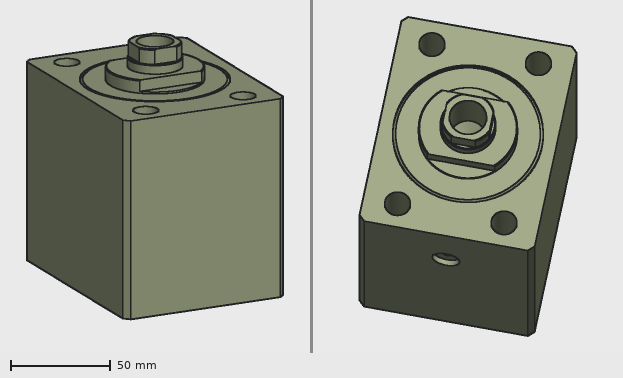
import cadquery as cq
import math

BLOCK_LENGTH = 115.0
BLOCK_WIDTH = 90.0
BLOCK_HEIGHT = 104.9
CORNER_CHAMFER = 3.0
TOTAL_HEIGHT = 124.9

BOLT_SPACING_X = 89.7
BOLT_SPACING_Y = 54.7
BOLT_HOLE_DIAMETER = 13.0

PORT_DROP = 29.1
PORT_DIAMETER = 14.0
PORT_DEPTH = 3.1
PASSAGE_DIAMETER = 4.0

GLAND_DIAMETER = 76.0
GLAND_LENGTH = 31.6
GLAND_CHAMFER = 1.5

ROD_DIAMETER = 50.0
ROD_STANDOUT = 1.0
HEAD_WIDTH = 36.0
COLLAR_DIAMETER = 28.0
COLLAR_HEIGHT = 5.0
SQUARE_WIDTH = 24.0
SQUARE_CORNER_DIAMETER = 27.0
SQUARE_HEIGHT = 8.0
EDGE_CHAMFER = 0.5

ROD_HOLE_DIAMETER = 18.7
ROD_HOLE_DEPTH = 25.0
DRILL_POINT_ANGLE = 118.0

RECESS_FLOOR = BLOCK_HEIGHT - GLAND_LENGTH
SQUARE_BASE = TOTAL_HEIGHT - SQUARE_HEIGHT
COLLAR_BASE = SQUARE_BASE - COLLAR_HEIGHT
HEAD_BASE = BLOCK_HEIGHT + ROD_STANDOUT


def cylinder(diameter, bottom, top):
    """Upright cylinder on the Z axis between two levels."""
    return cq.Workplane("XY").workplane(offset=bottom).circle(diameter / 2).extrude(top - bottom)


def box(length, width, bottom, top):
    """Upright box centred on the Z axis between two levels."""
    return cq.Workplane("XY").workplane(offset=bottom).rect(length, width).extrude(top - bottom)


def side_drill(diameter, depth):
    """Cylinder along +X that starts on the -X face at the port axis."""
    return (
        cq.Workplane("YZ", origin=(-BLOCK_LENGTH / 2, 0, BLOCK_HEIGHT - PORT_DROP))
        .circle(diameter / 2)
        .extrude(depth)
    )


def make_housing():
    """Block with bolt holes, a recess for the gland and rod, and the side port."""
    block = box(BLOCK_LENGTH, BLOCK_WIDTH, 0, BLOCK_HEIGHT).edges("|Z").chamfer(CORNER_CHAMFER)
    bolt_holes = (
        cq.Workplane("XY")
        .rect(BOLT_SPACING_X, BOLT_SPACING_Y, forConstruction=True)
        .vertices()
        .circle(BOLT_HOLE_DIAMETER / 2)
        .extrude(BLOCK_HEIGHT)
    )
    recess = cylinder(GLAND_DIAMETER, RECESS_FLOOR, BLOCK_HEIGHT)
    port = side_drill(PORT_DIAMETER, PORT_DEPTH)
    passage = side_drill(PASSAGE_DIAMETER, BLOCK_LENGTH / 2)
    return block.cut(bolt_holes).cut(recess).cut(port).cut(passage)


def make_gland():
    """Ring around the rod, chamfered on both outer edges."""
    ring = cylinder(GLAND_DIAMETER, RECESS_FLOOR, BLOCK_HEIGHT)
    ring = ring.faces("|Z").edges().chamfer(GLAND_CHAMFER)
    return ring.cut(cylinder(ROD_DIAMETER, RECESS_FLOOR, BLOCK_HEIGHT))


def make_rod_hole():
    """Drilled hole with a conical point, as a solid to cut away."""
    radius = ROD_HOLE_DIAMETER / 2
    point_depth = radius / math.tan(math.radians(DRILL_POINT_ANGLE / 2))
    shoulder = TOTAL_HEIGHT - ROD_HOLE_DEPTH
    return (
        cq.Workplane("XZ")
        .moveTo(0, TOTAL_HEIGHT)
        .lineTo(radius, TOTAL_HEIGHT)
        .lineTo(radius, shoulder)
        .lineTo(0, shoulder - point_depth)
        .close()
        .revolve(360, (0, 0), (0, 1))
    )


def make_rod():
    """Rod with a two-flat head, a collar and a drilled wrench square."""
    shaft = cylinder(ROD_DIAMETER, RECESS_FLOOR, HEAD_BASE)
    head = cylinder(ROD_DIAMETER, HEAD_BASE, COLLAR_BASE)
    head = head.faces(">Z").edges().chamfer(EDGE_CHAMFER)
    head = head.intersect(box(HEAD_WIDTH, ROD_DIAMETER, HEAD_BASE, COLLAR_BASE))
    collar = cylinder(COLLAR_DIAMETER, COLLAR_BASE, SQUARE_BASE)
    collar = collar.faces(">Z").edges().chamfer(EDGE_CHAMFER)
    square = cylinder(SQUARE_CORNER_DIAMETER, SQUARE_BASE, TOTAL_HEIGHT)
    square = square.faces(">Z").edges().chamfer(EDGE_CHAMFER)
    square = square.intersect(box(SQUARE_WIDTH, SQUARE_WIDTH, SQUARE_BASE, TOTAL_HEIGHT))
    return shaft.union(head).union(collar).union(square).cut(make_rod_hole())


housing = make_housing()
gland = make_gland()
rod = make_rod()

result = cq.Compound.makeCompound([body.solids().val() for body in (housing, gland, rod)])